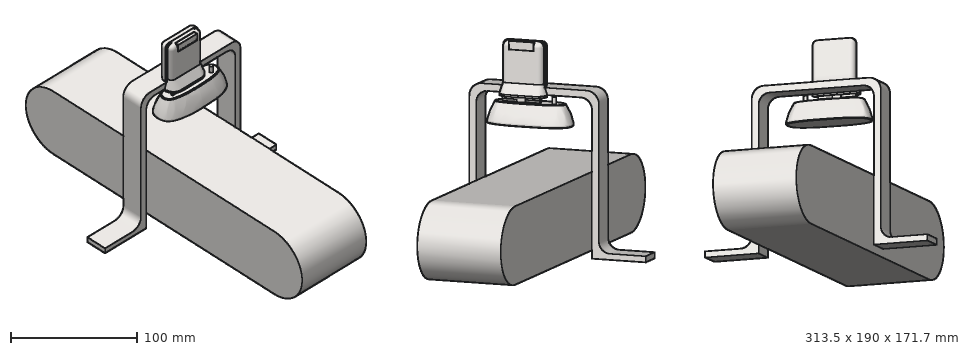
import cadquery as cq
import math

BLOCK_LENGTH = 313.5
BLOCK_HEIGHT = 63.3
BLOCK_WIDTH = 71.0

STRAP_WIDTH = 20.0
STRAP_EDGE_X = -6.0
STRAP_THICKNESS = 6.0
FOOT_THICKNESS = 5.0
BRACKET_TOP_Z = 135.0
BRACKET_SPAN = 110.3
BRACKET_LENGTH = 190.0
TOP_OUTER_RADIUS = 10.3
TOP_INNER_RADIUS = 9.5
FOOT_RADIUS = 9.5

BELL_CENTER_X = -4.5
BELL_CENTER_Y = -2.5
BELL_HALF_LENGTH = 35.7
BELL_HALF_WIDTH = 15.5
BELL_SQUARENESS = 2.7
BELL_SPLINE_STEPS = 8
BELL_BOTTOM_Z = 105.3
BELL_TOP_Z = 123.2
RIM_HEIGHT = 2.2
BELL_TOP_INSET = 6.3
BELL_MID_INSET = 2.2
BELL_EDGE_CHAMFER = 0.5
PIN_X = -2.0
PIN_Y = 18.8
PIN_DIAMETER = 3.5
PIN_TOP_Z = BRACKET_TOP_Z - STRAP_THICKNESS

CASE_CENTER_Y = -8.8
CASE_HALF_WIDTH = 18.2
CASE_FACE_X = -14.0
CASE_BACK_X = -7.5
CASE_TOP_Z = 171.7
CASE_RADIUS = 4.5
CASE_CURVE_Z = 141.5
CASE_CURVE_DEPTH = 0.5

PLATE_BACK_X = -1.3
PLATE_BOTTOM_Z = 138.0
PLATE_HALF_WIDTH = 17.2
PLATE_RADIUS = 4.5
NECK_HALF_WIDTH = 17.0
NECK_BOTTOM_Z = 137.3
TAB_FRONT_X = -3.8
TAB_BACK_X = -0.3
TAB_BOTTOM_Z = 164.8
TAB_HALF_WIDTH = 10.3
FLANGE_BACK_X = 3.8
FLANGE_HALF_WIDTH = 20.0
FLANGE_RADIUS = 9.0
FLANGE_BOTTOM_Z = 127.5
FLANGE_RIM_HEIGHT = 1.5
STEM_FRONT_X = -4.0
STEM_BACK_X = 0.0
STEM_HALF_WIDTH = 16.0
STEM_BEVEL = 1.3
HUB_FRONT_X = -4.7
HUB_HALF_WIDTH = 3.8


def box_between(x_range, y_range, z_range):
    """Box between two limits along each axis."""
    size = [high - low for low, high in (x_range, y_range, z_range)]
    corner = (x_range[0], y_range[0], z_range[0])
    return cq.Workplane("XY").box(*size, centered=False).translate(corner)


def about(center, half_width):
    """Low and high limit of a range that is symmetric about a center."""
    return (center - half_width, center + half_width)


def make_block():
    return (
        cq.Workplane("XZ", origin=(0, 0, BLOCK_HEIGHT / 2))
        .slot2D(BLOCK_LENGTH, BLOCK_HEIGHT)
        .extrude(BLOCK_WIDTH / 2, both=True)
    )


def make_bracket():
    leg_outer = BRACKET_SPAN / 2
    leg_inner = leg_outer - STRAP_THICKNESS
    foot_tip = BRACKET_LENGTH / 2
    ceiling_z = BRACKET_TOP_Z - STRAP_THICKNESS
    outline = [
        (-foot_tip, 0),
        (-leg_inner, 0),
        (-leg_inner, ceiling_z),
        (leg_inner, ceiling_z),
        (leg_inner, 0),
        (foot_tip, 0),
        (foot_tip, FOOT_THICKNESS),
        (leg_outer, FOOT_THICKNESS),
        (leg_outer, BRACKET_TOP_Z),
        (-leg_outer, BRACKET_TOP_Z),
        (-leg_outer, FOOT_THICKNESS),
        (-foot_tip, FOOT_THICKNESS),
    ]
    strap = (
        cq.Workplane("YZ", origin=(STRAP_EDGE_X - STRAP_WIDTH, 0, 0))
        .polyline(outline)
        .close()
        .extrude(STRAP_WIDTH)
    )
    bends = [
        (leg_outer, BRACKET_TOP_Z, TOP_OUTER_RADIUS),
        (leg_inner, ceiling_z, TOP_INNER_RADIUS),
        (leg_outer, FOOT_THICKNESS, FOOT_RADIUS),
    ]
    mid_x = STRAP_EDGE_X - STRAP_WIDTH / 2
    for y, z, radius in bends:
        for side in (-1, 1):
            corner = cq.selectors.NearestToPointSelector((mid_x, side * y, z))
            strap = strap.edges("|X").edges(corner).fillet(radius)
    return strap


def add_bell_outline(plane, inset):
    """Add a boxy oval, split at the middle of its two long sides."""
    width = BELL_HALF_WIDTH - inset
    length = BELL_HALF_LENGTH - inset
    half = []
    for step in range(1, BELL_SPLINE_STEPS + 1):
        angle = math.pi * step / BELL_SPLINE_STEPS
        x = math.copysign(abs(math.cos(angle)) ** (2 / BELL_SQUARENESS), math.cos(angle))
        y = abs(math.sin(angle)) ** (2 / BELL_SQUARENESS)
        half.append((width * x, length * y))
    other_half = [(-x, -y) for x, y in half]
    along_length = (0, 1)
    against_length = (0, -1)
    return (
        plane.moveTo(width, 0)
        .spline(half, tangents=[along_length, against_length], includeCurrent=True)
        .spline(other_half, tangents=[against_length, along_length], includeCurrent=True)
        .close()
    )


def make_bell():
    base = cq.Workplane("XY", origin=(BELL_CENTER_X, BELL_CENTER_Y, BELL_BOTTOM_Z))
    rim = add_bell_outline(base, 0).extrude(RIM_HEIGHT)
    half_rise = (BELL_TOP_Z - BELL_BOTTOM_Z - RIM_HEIGHT) / 2
    flare = add_bell_outline(base.workplane(offset=RIM_HEIGHT), 0)
    for inset in (BELL_MID_INSET, BELL_TOP_INSET):
        flare = add_bell_outline(flare.workplane(offset=half_rise), inset)
    flared_body = rim.union(flare.loft())
    bell = flared_body.faces("<Z or >Z").edges().chamfer(BELL_EDGE_CHAMFER)
    pin = (
        cq.Workplane("XY", origin=(PIN_X, PIN_Y, BELL_TOP_Z))
        .circle(PIN_DIAMETER / 2)
        .extrude(PIN_TOP_Z - BELL_TOP_Z)
    )
    return bell.union(pin)


def make_case():
    shell = (
        cq.Workplane("XZ", origin=(0, CASE_CENTER_Y, 0))
        .moveTo(CASE_BACK_X, BRACKET_TOP_Z)
        .lineTo(CASE_BACK_X, CASE_TOP_Z)
        .lineTo(CASE_FACE_X, CASE_TOP_Z)
        .lineTo(CASE_FACE_X, CASE_CURVE_Z)
        .tangentArcPoint((CASE_FACE_X + CASE_CURVE_DEPTH, BRACKET_TOP_Z), relative=False)
        .close()
        .extrude(CASE_HALF_WIDTH, both=True)
    )
    shell = shell.edges("|X and >Z").fillet(CASE_RADIUS)
    return shell.faces("<X").edges(">Z").fillet(CASE_RADIUS)


def flange_section(z, back_x, half_width, radius):
    """Cross-section, flat along the strap and rounded at the two far corners."""
    depth = back_x - STRAP_EDGE_X
    return (
        cq.Sketch()
        .rect(depth, 2 * half_width)
        .vertices(">X")
        .fillet(radius)
        .moved(cq.Location(cq.Vector(STRAP_EDGE_X + depth / 2, CASE_CENTER_Y, z)))
    )


def make_plate():
    """Upright plate with its inset neck and the tab over its top edge."""
    plate = box_between(
        (STRAP_EDGE_X, PLATE_BACK_X),
        about(CASE_CENTER_Y, PLATE_HALF_WIDTH),
        (PLATE_BOTTOM_Z, CASE_TOP_Z),
    )
    plate = plate.edges("|X and >Z").fillet(CASE_RADIUS)
    plate = plate.edges("|Z and >X").fillet(PLATE_RADIUS)
    neck = box_between(
        (CASE_BACK_X, STRAP_EDGE_X),
        about(CASE_CENTER_Y, NECK_HALF_WIDTH),
        (NECK_BOTTOM_Z, CASE_TOP_Z),
    )
    neck = neck.edges("|X and >Z").fillet(CASE_RADIUS)
    tab = box_between(
        (TAB_FRONT_X, TAB_BACK_X),
        about(CASE_CENTER_Y, TAB_HALF_WIDTH),
        (TAB_BOTTOM_Z, CASE_TOP_Z),
    )
    return plate.union(neck).union(tab)


def make_flange():
    rim_top_z = FLANGE_BOTTOM_Z + FLANGE_RIM_HEIGHT
    base = (FLANGE_BACK_X, FLANGE_HALF_WIDTH, FLANGE_RADIUS)
    top = (PLATE_BACK_X, PLATE_HALF_WIDTH, PLATE_RADIUS)
    rim_section = flange_section(FLANGE_BOTTOM_Z, *base)
    rim = cq.Workplane("XY").placeSketch(rim_section).extrude(FLANGE_RIM_HEIGHT)
    flare = (
        cq.Workplane("XY")
        .placeSketch(flange_section(rim_top_z, *base), flange_section(PLATE_BOTTOM_Z, *top))
        .loft(ruled=True)
    )
    return rim.union(flare)


def make_stem():
    """Bar between flange and bell, bevelled along its lower half, with a hub at its middle."""
    mid_z = (BELL_TOP_Z + FLANGE_BOTTOM_Z) / 2
    bar_profile = [
        (STEM_FRONT_X, FLANGE_BOTTOM_Z),
        (STEM_FRONT_X, mid_z),
        (STEM_FRONT_X + STEM_BEVEL, BELL_TOP_Z),
        (STEM_BACK_X - STEM_BEVEL, BELL_TOP_Z),
        (STEM_BACK_X, mid_z),
        (STEM_BACK_X, FLANGE_BOTTOM_Z),
    ]
    bar = (
        cq.Workplane("XZ", origin=(0, CASE_CENTER_Y, 0))
        .polyline(bar_profile)
        .close()
        .extrude(STEM_HALF_WIDTH, both=True)
    )
    hub = box_between(
        (HUB_FRONT_X, STEM_BACK_X),
        about(CASE_CENTER_Y, HUB_HALF_WIDTH),
        (BELL_TOP_Z, FLANGE_BOTTOM_Z),
    )
    return bar.union(hub)


def make_holder():
    return make_plate().union(make_flange()).union(make_stem())


block = make_block()
bracket = make_bracket()
bell = make_bell()
case = make_case()
holder = make_holder()

result = cq.Compound.makeCompound([
    block.val(),
    bracket.val(),
    bell.val(),
    case.val(),
    holder.val(),
])